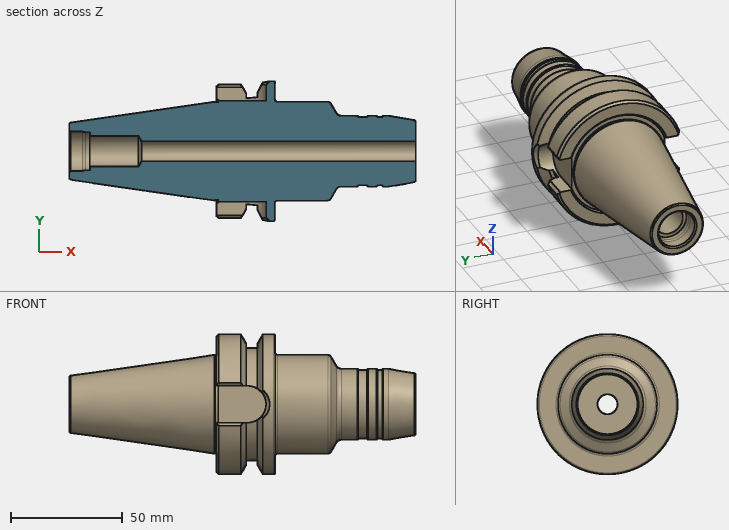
import cadquery as cq
import math

total_length = 155.4

taper_end_x = 65.1
taper_small_radius = 12.9
taper_large_radius = 44.5 / 2
neck_radius = 44.0 / 2
neck_relief_length = 0.5
shank_chamfer = 0.6

flange_radius = 63.0 / 2
flange_front_x = 66.0
flange_rear_x = 92.3
flange_front_chamfer = 1.1
flange_rear_round = 0.8
recess_floor_x = 66.8
recess_radius = 24.1
recess_chamfer = recess_floor_x - flange_front_x
groove_radius = 25.3
groove_start_x = 79.4
groove_end_x = 84.4
groove_wall_width = 2.5
groove_wall_height = groove_wall_width * math.tan(math.radians(60))

body_radius = 44.5 / 2
body_root_round = 1.0

shoulder_angle = math.radians(60)
shoulder_start_x = 116.9
shoulder_outer_round = 1.7
shoulder_inner_round = 2.5

nose_radius = 32.0 / 2
nose_groove_radius = 31.0 / 2
nose_groove_spans = [(129.1, 134.0), (137.7, 140.8)]
nose_groove_slope = nose_radius - nose_groove_radius
nose_taper_x = 143.0
nose_tip_radius = 14.0
tip_chamfer = 0.6

bore_mouth_radius = 9.5
pilot_radius = 17.5 / 2
pilot_depth = 5.9
step_cone_length = 1.2
counterbore_radius = 17.0 / 2
counterbore_depth = 9.3
thread_radius = 13.5 / 2
thread_depth = 31.1
through_radius = 8.9 / 2
drill_half_angle = math.radians(59)

slot_half_width = 8.2
slot_floor = 22.7
slot_arc_x = 80.0
side_chamfer_floor = 28.6
end_chamfer_floor = 29.8


def make_body():
    """Revolve the outer profile from the taper to the nose."""
    shoulder_run = (body_radius - nose_radius) / math.tan(shoulder_angle)
    shoulder_end_x = shoulder_start_x + shoulder_run
    outer_tangent = shoulder_outer_round * math.tan(shoulder_angle / 2)
    inner_tangent = shoulder_inner_round * math.tan(shoulder_angle / 2)
    along = math.cos(shoulder_angle)
    down = math.sin(shoulder_angle)
    groove_lip_radius = flange_radius - groove_wall_height

    profile = (
        cq.Workplane("XY")
        .moveTo(0, 0)
        .lineTo(0, taper_small_radius - shank_chamfer)
        .lineTo(shank_chamfer, taper_small_radius)
        .lineTo(taper_end_x, taper_large_radius)
        .lineTo(taper_end_x + neck_relief_length, neck_radius)
        .lineTo(recess_floor_x, neck_radius)
        .lineTo(recess_floor_x, recess_radius)
        .lineTo(flange_front_x, recess_radius + recess_chamfer)
        .lineTo(flange_front_x, flange_radius - flange_front_chamfer)
        .lineTo(flange_front_x + flange_front_chamfer, flange_radius)
        .lineTo(groove_start_x - groove_wall_width, flange_radius)
        .lineTo(groove_start_x, groove_lip_radius)
        .lineTo(groove_start_x, groove_radius)
        .lineTo(groove_end_x, groove_radius)
        .lineTo(groove_end_x, groove_lip_radius)
        .lineTo(groove_end_x + groove_wall_width, flange_radius)
        .lineTo(flange_rear_x - flange_rear_round, flange_radius)
        .radiusArc((flange_rear_x, flange_radius - flange_rear_round), flange_rear_round)
        .lineTo(flange_rear_x, body_radius + body_root_round)
        .radiusArc((flange_rear_x + body_root_round, body_radius), -body_root_round)
        .lineTo(shoulder_start_x - outer_tangent, body_radius)
        .radiusArc(
            (shoulder_start_x + outer_tangent * along, body_radius - outer_tangent * down),
            shoulder_outer_round,
        )
        .lineTo(shoulder_end_x - inner_tangent * along, nose_radius + inner_tangent * down)
        .radiusArc((shoulder_end_x + inner_tangent, nose_radius), -shoulder_inner_round)
    )
    for start_x, end_x in nose_groove_spans:
        profile = (
            profile.lineTo(start_x, nose_radius)
            .lineTo(start_x + nose_groove_slope, nose_groove_radius)
            .lineTo(end_x - nose_groove_slope, nose_groove_radius)
            .lineTo(end_x, nose_radius)
        )
    profile = (
        profile.lineTo(nose_taper_x, nose_radius)
        .lineTo(total_length - tip_chamfer, nose_tip_radius)
        .lineTo(total_length, nose_tip_radius - tip_chamfer)
        .lineTo(total_length, 0)
        .close()
    )
    return profile.revolve(360, (0, 0, 0), (1, 0, 0))


def make_bore():
    """Revolve the stepped bore, which narrows to a coolant hole through the nose."""
    drill_tip_length = (thread_radius - through_radius) / math.tan(drill_half_angle)
    points = [
        (0, 0),
        (0, bore_mouth_radius),
        (bore_mouth_radius - pilot_radius, pilot_radius),
        (pilot_depth, pilot_radius),
        (pilot_depth + step_cone_length, counterbore_radius),
        (counterbore_depth, counterbore_radius),
        (counterbore_depth, thread_radius),
        (thread_depth, thread_radius),
        (thread_depth + drill_tip_length, through_radius),
        (total_length, through_radius),
        (total_length, 0),
    ]
    return cq.Workplane("XY").polyline(points).close().revolve(360, (0, 0, 0), (1, 0, 0))


def make_slot():
    """Build the cutter for the -Y drive slot: round-ended, with 45 degree edge chamfers."""
    slot_length = slot_arc_x - taper_end_x
    middle_x = taper_end_x + slot_length / 2
    slot_height = flange_radius - slot_floor
    side_chamfer = flange_radius - side_chamfer_floor
    end_chamfer = flange_radius - end_chamfer_floor

    floor_plane = cq.Workplane("XZ", origin=(0, -slot_floor, 0))
    straight = floor_plane.center(middle_x, 0).rect(slot_length, 2 * slot_half_width).extrude(slot_height)
    round_end = floor_plane.center(slot_arc_x, 0).circle(slot_half_width).extrude(slot_height)

    side_flare = (
        cq.Workplane("YZ", origin=(taper_end_x, 0, 0))
        .moveTo(-side_chamfer_floor, -slot_half_width)
        .lineTo(-flange_radius, -slot_half_width - side_chamfer)
        .lineTo(-flange_radius, slot_half_width + side_chamfer)
        .lineTo(-side_chamfer_floor, slot_half_width)
        .close()
        .extrude(slot_length)
    )
    end_flare = cq.Workplane(
        cq.Solid.makeCone(
            slot_half_width,
            slot_half_width + end_chamfer,
            end_chamfer,
            cq.Vector(slot_arc_x, -end_chamfer_floor, 0),
            cq.Vector(0, -1, 0),
        )
    )
    return straight.union(round_end).union(side_flare).union(end_flare)


slot = make_slot()
opposite_slot = slot.mirror("XZ")
result = make_body().cut(make_bore()).cut(slot).cut(opposite_slot)